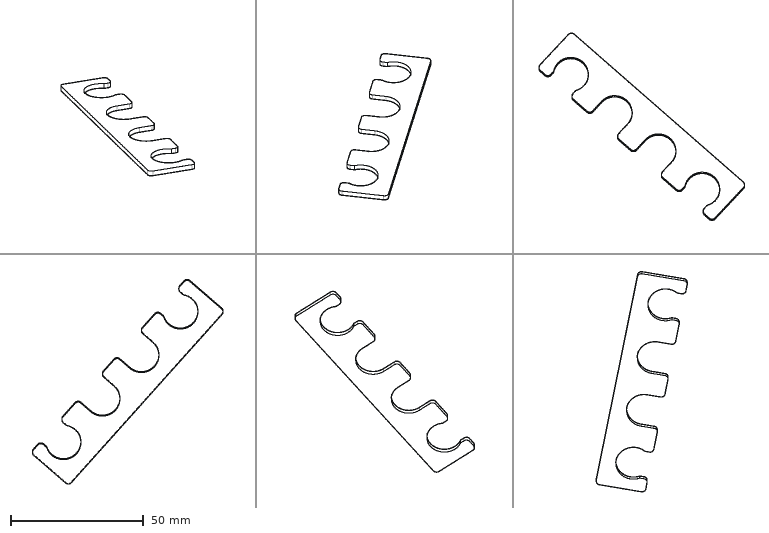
import cadquery as cq

length = 88.9
width = 19.0
thickness = 2.0
corner_radius = 1.5

seat_count = 4
seat_pitch = length / seat_count
seat_radius = 6.6
seat_center_y = width - seat_radius

snap_mouth_width = 11.2
open_mouth_width = 2 * seat_radius


def make_seat(center_x, mouth_width):
    """Cutter for a round seat and its straight mouth through the +Y edge."""
    mouth_length = width - seat_center_y
    seat = cq.Workplane("XY").center(center_x, seat_center_y).circle(seat_radius).extrude(thickness)
    mouth = (
        cq.Workplane("XY")
        .center(center_x, seat_center_y + mouth_length / 2)
        .rect(mouth_width, mouth_length)
        .extrude(thickness)
    )
    return seat.union(mouth)


plate = cq.Workplane("XY").rect(length, width, centered=False).extrude(thickness)

for index in range(seat_count):
    is_end_seat = index in (0, seat_count - 1)
    mouth_width = snap_mouth_width if is_end_seat else open_mouth_width
    plate = plate.cut(make_seat((index + 0.5) * seat_pitch, mouth_width))

result = plate.edges("|Z and (<Y or >Y)").fillet(corner_radius)